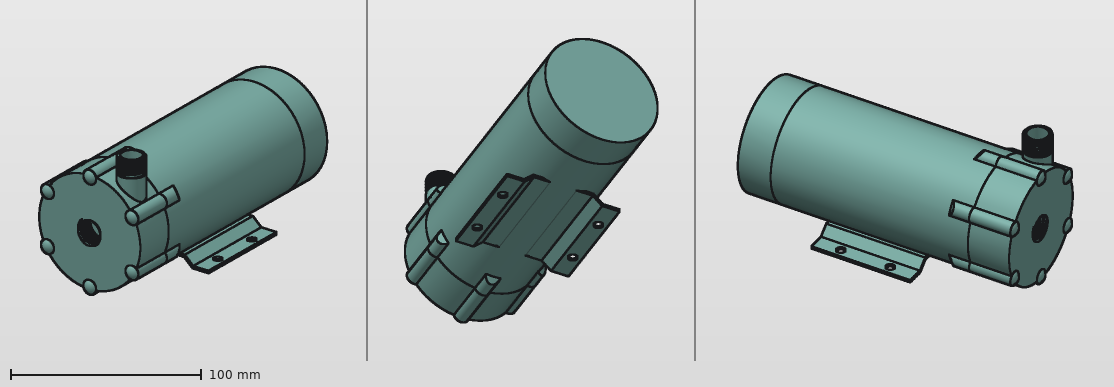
import cadquery as cq
import math


barrel_dia = 66.0
barrel_radius = barrel_dia / 2
barrel_length = 165.0
head_length = 25.0
cap_length = 20.0
cap_start = barrel_length - cap_length

screw_count = 6
screw_circle_radius = 31.7
rib_dia = 8.7
rib_end = 38.0
screw_head_dia = 8.4
screw_head_height = 2.0

thread_pitch = 2.0
thread_width = 1.7
thread_length = 10.0
thread_overlap = 0.2
thread_start_angle = 45

inlet_dia = 13.5
inlet_thread_dia = 16.2
inlet_depth = thread_length

outlet_x = 18.0
outlet_y = head_length / 2
outlet_dia = 15.9
outlet_core_dia = 14.0
outlet_bore_dia = 12.0
outlet_top = 45.0
outlet_shoulder = outlet_top - thread_length
outlet_base = math.sqrt(barrel_radius**2 - outlet_x**2)

bracket_width = barrel_dia
bracket_length = 60.1
bracket_start = 60.1
plate_thickness = 1.5
foot_bottom = -37.0
foot_rise = 5.0
foot_inner_x = 22.9
bridge_half_width = 17.4
bend_shift = 0.3
foot_hole_dia = 5.0
foot_hole_spacing = 30.0
foot_hole_inset = 5.0


def cylinder_along_y(diameter, start, end, x=0, z=0):
    """Cylinder parallel to the pump axis between two Y positions."""
    return cq.Workplane("XZ", origin=(x, start, z)).circle(diameter / 2).extrude(start - end)


def screw_places():
    """(x, z) centres of the screws, the first one straight above the axis."""
    angles = [math.pi / 2 + 2 * math.pi * i / screw_count for i in range(screw_count)]
    return [(screw_circle_radius * math.cos(a), screw_circle_radius * math.sin(a)) for a in angles]


def thread_helix(base_dia, tip_dia, length):
    """V-shaped helical thread around Z, from z = 0 up to length; the tip may face out or in."""
    tip_radius = tip_dia / 2
    root_radius = base_dia / 2 + math.copysign(thread_overlap, base_dia - tip_dia)
    path = cq.Workplane(cq.Wire.makeHelix(thread_pitch, length, root_radius))
    profile = (
        cq.Workplane("XZ")
        .moveTo(root_radius, -thread_width / 2)
        .lineTo(tip_radius, 0)
        .lineTo(root_radius, thread_width / 2)
        .close()
    )
    thread = profile.sweep(path, isFrenet=True)
    return thread.rotate((0, 0, 0), (0, 0, 1), thread_start_angle)


def make_ribs():
    """Screw ribs over the head and motor; their rear ends slope at 45 degrees to the barrel."""
    ribs = cylinder_along_y(rib_dia, 0, rib_end, *screw_places()[0])
    for x, z in screw_places()[1:]:
        ribs = ribs.union(cylinder_along_y(rib_dia, 0, rib_end, x, z))
    cone_base_radius = barrel_radius + rib_end
    slope = (
        cq.Workplane("XY")
        .polyline([(0, 0), (cone_base_radius, 0), (0, cone_base_radius)])
        .close()
        .revolve(360, (0, 0, 0), (0, 1, 0))
    )
    return ribs.intersect(slope)


def make_outlet():
    """Stub with a reduced, threaded upper end."""
    stub = cq.Workplane("XY").circle(outlet_dia / 2).extrude(outlet_shoulder)

    core = cq.Workplane("XY").circle(outlet_core_dia / 2).extrude(outlet_top + 2 * thread_pitch)
    first_turn = outlet_shoulder + thread_width / 2
    thread = thread_helix(outlet_core_dia, outlet_dia, thread_length).translate((0, 0, first_turn))
    trim = cq.Workplane("XY", origin=(0, 0, outlet_shoulder)).circle(outlet_dia).extrude(thread_length)
    threaded_end = core.union(thread).intersect(trim)
    return stub.union(threaded_end).translate((outlet_x, outlet_y, 0))


def inlet_cavity():
    """Blind hole and its thread groove, both carried on through the front face."""
    hole = cylinder_along_y(inlet_dia, -2 * thread_pitch, inlet_depth)
    groove = thread_helix(inlet_dia, inlet_thread_dia, inlet_depth)
    groove = groove.rotate((0, 0, 0), (1, 0, 0), 90).translate((0, inlet_depth - thread_width / 2, 0))
    return hole.union(groove)


def make_head():
    head = cylinder_along_y(barrel_dia, 0, head_length)
    head = head.union(make_ribs().intersect(cylinder_along_y(2 * barrel_dia, 0, head_length)))
    head = head.union(make_outlet())

    bore = (
        cq.Workplane("XY", origin=(outlet_x, outlet_y, outlet_base))
        .circle(outlet_bore_dia / 2)
        .extrude(outlet_top - outlet_base)
    )
    head = head.cut(bore)

    return head.cut(inlet_cavity())


def make_bracket():
    """Bent plate: a raised bridge between two feet with two holes each."""
    foot_top = foot_bottom + plate_thickness
    bridge_bottom = foot_bottom + foot_rise
    bridge_top = bridge_bottom + plate_thickness
    edge_x = bracket_width / 2
    right_half = [
        (bridge_half_width - bend_shift / 2, bridge_bottom),
        (foot_inner_x - bend_shift / 2, foot_bottom),
        (edge_x, foot_bottom),
        (edge_x, foot_top),
        (foot_inner_x + bend_shift / 2, foot_top),
        (bridge_half_width + bend_shift / 2, bridge_top),
    ]
    left_half = [(-x, z) for x, z in reversed(right_half)]
    bracket = (
        cq.Workplane("XZ", origin=(0, bracket_start, 0))
        .polyline(right_half + left_half)
        .close()
        .extrude(-bracket_length)
    )
    holes = (
        cq.Workplane("XY", origin=(0, bracket_start + bracket_length / 2, foot_bottom))
        .rarray(bracket_width - 2 * foot_hole_inset, foot_hole_spacing, 2, 2)
        .circle(foot_hole_dia / 2)
        .extrude(plate_thickness)
    )
    return bracket.cut(holes)


def make_motor():
    """Motor barrel with the rear ends of the ribs and the bracket fixed to it."""
    motor = cylinder_along_y(barrel_dia, head_length, cap_start)
    motor = motor.union(make_ribs().intersect(cylinder_along_y(2 * barrel_dia, head_length, cap_start)))
    return motor.union(make_bracket())


def make_rear_cap():
    return cylinder_along_y(barrel_dia, cap_start, barrel_length)


def make_screw(x, z):
    """Domed screw head that rests on the front face."""
    screw = (
        cq.Workplane("XY")
        .lineTo(screw_head_dia / 2, 0)
        .threePointArc(dome_midpoint(), (0, -screw_head_height))
        .close()
        .revolve(360, (0, 0, 0), (0, 1, 0))
    )
    return screw.translate((x, 0, z))


def dome_midpoint():
    """Point halfway along the dome arc from rim to crown."""
    rim_radius = screw_head_dia / 2
    dome_radius = (rim_radius**2 + screw_head_height**2) / (2 * screw_head_height)
    half_angle = math.asin(rim_radius / dome_radius) / 2
    centre_y = dome_radius - screw_head_height
    return (dome_radius * math.sin(half_angle), centre_y - dome_radius * math.cos(half_angle))


head = make_head()
motor = make_motor()
rear_cap = make_rear_cap()
screws = [make_screw(x, z) for x, z in screw_places()]

result = cq.Compound.makeCompound([
    head.val(),
    motor.val(),
    rear_cap.val(),
    *[screw.val() for screw in screws],
])